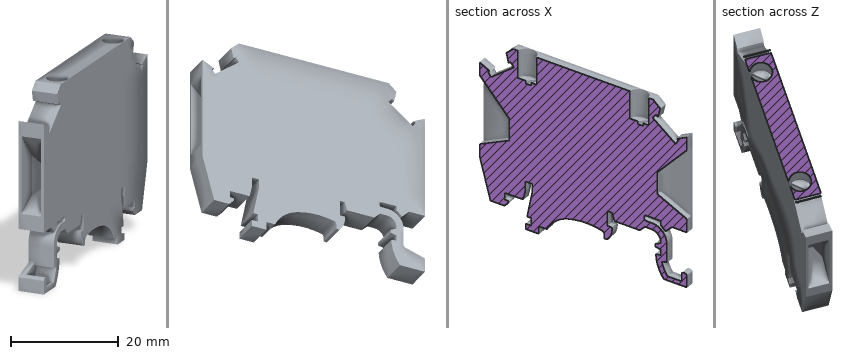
import math

import cadquery as cq

THICKNESS = 5.15
LENGTH = 46.35
HEIGHT = 38.7
HALF_LENGTH = LENGTH / 2

LATCH_OUTER_Y = -18.7
LATCH_INNER_Y = -17.2
LATCH_TOP_Z = 11.48
LATCH_BEND_Y = -15.28
LATCH_OUTER_RADIUS = LATCH_BEND_Y - LATCH_OUTER_Y
LATCH_INNER_RADIUS = LATCH_BEND_Y - LATCH_INNER_Y
LATCH_BEND_Z = LATCH_TOP_Z - LATCH_OUTER_RADIUS
LATCH_UNDERSIDE_Z = LATCH_BEND_Z + LATCH_INNER_RADIUS
FOOT_HEEL_Z = 4.2
FOOT_TOE_Z = 2.9
HEEL_FILLET = 0.6
TOE_FILLET = 0.45
SLIT_TOP_Z = 12.54
SLIT_END_Y = -13.95
SLIT_END_BULGE = 0.33

CHANNEL_START_X = 1.2
CHANNEL_FLOOR_Z = 1.04
CHANNEL_FLOOR_Y = -18.8
CHANNEL_BACK_MIDDLE = (-18.14, 2.2)
CHANNEL_BACK_TOP = (-17.6, 3.73)
CHANNEL_MOUTH_Z = 3.88
CHANNEL_LIP_Y = -21.95
CHANNEL_LIP_FILLET = 0.45

STOP_BASE_Z = 12.07
LEG_SLOT_TOP_Z = 10.45
BLOCK_BOTTOM_Z = 8.82
CENTRE_LEG_Z = 1.66
CLAW_SHELF_Z = 6.3
CLAW_BOTTOM_Z = 3.45

SCREW_X = 3.02
SCREW_Y = 12.5
SCREW_WELL_DIAMETER = 4.1
SCREW_WELL_DEPTH = 6.0
SCREW_SLOT_WIDTH = 0.8
SCREW_SLOT_DEPTH = 0.6
SCREW_SLOT_ANGLE = -45

ENTRY_MIN_X = 0.6
ENTRY_MAX_X = 4.6
ENTRY_BOTTOM_Z = 15.1
ENTRY_TOP_Z = 30.2
ENTRY_DEPTH = 6.6
ENTRY_STRAIGHT_DEPTH = 4.62
ENTRY_END_MIN_X = 1.77
ENTRY_END_MAX_X = 4.43
ENTRY_END_BOTTOM_Z = 18.25
ENTRY_END_TOP_Z = 23.0


def polyline_to(outline, points):
    """Continue an outline with straight lines through the points."""
    for y, z in points:
        outline = outline.lineTo(y, z)
    return outline


def shoulder(side):
    """Points of one upper corner, from the top face to the end face; side is +1 or -1."""
    points = [
        (15.6, HEIGHT),
        (17.22, 37.25),
        (16.72, 35.12),
        (16.26, 35.5),
        (15.56, 34.63),
        (20.6, 30.75),
        (21.2, 31.65),
        (20.75, 31.9),
        (HALF_LENGTH, 33.1),
    ]
    return [(side * y, z) for y, z in points]


def bend_middle(radius):
    """Middle point of a quarter arc of the latch bend."""
    offset = radius * math.sqrt(0.5)
    return (LATCH_BEND_Y - offset, LATCH_BEND_Z + offset)


def add_latch(outline):
    """Continue the outline from the -Y end face around the slit and the latch."""
    outline = polyline_to(outline, [
        (-HALF_LENGTH, STOP_BASE_Z),
        (-19.8, STOP_BASE_Z),
        (-18.38, 10.62),
        (LATCH_INNER_Y, 11.7),
        (LATCH_INNER_Y, SLIT_TOP_Z),
        (SLIT_END_Y, SLIT_TOP_Z),
    ])
    slit_end_middle = (SLIT_END_Y + SLIT_END_BULGE, (SLIT_TOP_Z + LATCH_TOP_Z) / 2)
    outline = outline.threePointArc(slit_end_middle, (SLIT_END_Y, LATCH_TOP_Z))
    outline = outline.lineTo(LATCH_BEND_Y, LATCH_TOP_Z)
    outline = outline.threePointArc(bend_middle(LATCH_OUTER_RADIUS), (LATCH_OUTER_Y, LATCH_BEND_Z))
    outline = polyline_to(outline, [
        (LATCH_OUTER_Y, FOOT_HEEL_Z),
        (-HALF_LENGTH, FOOT_TOE_Z),
        (-HALF_LENGTH, 0),
        (-17.95, 0),
    ])
    outline = outline.threePointArc((-16.65, 2.35), (-16.13, 5.0))
    outline = polyline_to(outline, [
        (LATCH_INNER_Y, 5.1),
        (LATCH_INNER_Y, 6.25),
        (-16.03, 6.47),
        (-16.03, 7.15),
        (LATCH_INNER_Y, 7.7),
        (LATCH_INNER_Y, LATCH_BEND_Z),
    ])
    return outline.threePointArc(bend_middle(LATCH_INNER_RADIUS), (LATCH_BEND_Y, LATCH_UNDERSIDE_Z))


def add_centre_leg(outline):
    """Continue the outline along the underside, around the hook, the arch and the leg."""
    outline = polyline_to(outline, [
        (-13.78, LATCH_UNDERSIDE_Z),
        (-12.59, BLOCK_BOTTOM_Z),
        (-6.9, BLOCK_BOTTOM_Z),
        (-6.43, LEG_SLOT_TOP_Z),
        (-5.41, LEG_SLOT_TOP_Z),
        (-5.41, 7.33),
        (-6.45, 7.33),
    ])
    outline = outline.threePointArc((-6.22, 5.5), (-5.31, 4.21))
    outline = polyline_to(outline, [(-4.68, 4.21), (-4.68, 5.1)])
    outline = outline.threePointArc((-4.5, 5.55), (-4.09, 5.77))
    outline = outline.threePointArc((-0.45, 6.17), (3.3, 5.62))
    outline = outline.threePointArc((6.1, 4.2), (8.09, CENTRE_LEG_Z))
    return polyline_to(outline, [
        (9.87, CENTRE_LEG_Z),
        (9.87, 0),
        (12.88, 0),
        (12.88, 1.3),
        (11.66, 1.3),
        (11.66, 2.85),
        (12.59, 2.85),
        (11.4, 8.86),
        (11.4, LEG_SLOT_TOP_Z),
    ])


def add_claw(outline):
    """Continue the outline around the fixed claw up to the +Y end face."""
    return polyline_to(outline, [
        (12.88, LEG_SLOT_TOP_Z),
        (12.88, 8.52),
        (13.38, CLAW_SHELF_Z),
        (17.5, CLAW_SHELF_Z),
        (17.5, 5.0),
        (16.6, 4.85),
        (16.6, 4.5),
        (17.6, CLAW_BOTTOM_Z),
        (20.76, CLAW_BOTTOM_Z),
        (HALF_LENGTH, 12.34),
    ])


def make_body():
    """Extrude the whole side outline and round the two ends of the foot slope."""
    outline = cq.Workplane("YZ").polyline(shoulder(1)[::-1] + shoulder(-1))
    outline = add_latch(outline)
    outline = add_centre_leg(outline)
    outline = add_claw(outline)
    body = outline.close().extrude(THICKNESS)
    heel = (THICKNESS / 2, LATCH_OUTER_Y, FOOT_HEEL_Z)
    toe = (THICKNESS / 2, -HALF_LENGTH, FOOT_TOE_Z)
    body = body.edges(cq.NearestToPointSelector(heel)).fillet(HEEL_FILLET)
    body = body.edges(cq.NearestToPointSelector(toe)).fillet(TOE_FILLET)
    return body


def cut_channel(body):
    """Cut the foot channel, undercut below the latch strip, and round its lip."""
    slope = (FOOT_HEEL_Z - FOOT_TOE_Z) / (LATCH_OUTER_Y + HALF_LENGTH)
    lip_z = FOOT_TOE_Z + slope * (CHANNEL_LIP_Y + HALF_LENGTH)
    profile = (
        cq.Workplane("YZ", origin=(CHANNEL_START_X, 0, 0))
        .moveTo(CHANNEL_LIP_Y, CHANNEL_FLOOR_Z)
        .lineTo(CHANNEL_FLOOR_Y, CHANNEL_FLOOR_Z)
        .threePointArc(CHANNEL_BACK_MIDDLE, CHANNEL_BACK_TOP)
        .lineTo(LATCH_OUTER_Y, CHANNEL_MOUTH_Z)
        .lineTo(LATCH_OUTER_Y, LATCH_BEND_Z)
        .lineTo(CHANNEL_LIP_Y, LATCH_BEND_Z)
        .close()
    )
    body = body.cut(profile.extrude(THICKNESS - CHANNEL_START_X))
    lip_middle = ((CHANNEL_START_X + THICKNESS) / 2, CHANNEL_LIP_Y, lip_z)
    return body.edges(cq.NearestToPointSelector(lip_middle)).fillet(CHANNEL_LIP_FILLET)


def screw_well(y):
    """Tool for one screw well with the driver slot in its floor."""
    floor_z = HEIGHT - SCREW_WELL_DEPTH
    well = (
        cq.Workplane("XY", origin=(SCREW_X, y, floor_z))
        .circle(SCREW_WELL_DIAMETER / 2)
        .extrude(SCREW_WELL_DEPTH)
    )
    head = (
        cq.Workplane("XY", origin=(SCREW_X, y, floor_z))
        .circle(SCREW_WELL_DIAMETER / 2)
        .extrude(-SCREW_SLOT_DEPTH)
    )
    slot = (
        cq.Workplane("XY")
        .box(SCREW_WELL_DIAMETER, SCREW_SLOT_WIDTH, 2 * SCREW_SLOT_DEPTH)
        .rotate((0, 0, 0), (0, 0, 1), SCREW_SLOT_ANGLE)
        .translate((SCREW_X, y, floor_z))
    )
    return well.union(slot.intersect(head))


def wire_entry():
    """Tool for the -Y wire entry: a side taper and a plan taper intersected."""
    bend_y = -HALF_LENGTH + ENTRY_STRAIGHT_DEPTH
    end_y = -HALF_LENGTH + ENTRY_DEPTH
    side_taper = (
        cq.Workplane("YZ")
        .polyline([
            (-HALF_LENGTH, ENTRY_BOTTOM_Z),
            (end_y, ENTRY_END_BOTTOM_Z),
            (end_y, ENTRY_END_TOP_Z),
            (-HALF_LENGTH, ENTRY_TOP_Z),
        ])
        .close()
        .extrude(THICKNESS)
    )
    plan_taper = (
        cq.Workplane("XY")
        .polyline([
            (ENTRY_MIN_X, -HALF_LENGTH),
            (ENTRY_MAX_X, -HALF_LENGTH),
            (ENTRY_MAX_X, bend_y),
            (ENTRY_END_MAX_X, end_y),
            (ENTRY_END_MIN_X, end_y),
            (ENTRY_MIN_X, bend_y),
        ])
        .close()
        .extrude(HEIGHT)
    )
    return side_taper.intersect(plan_taper)


result = cut_channel(make_body())
for screw_y in (-SCREW_Y, SCREW_Y):
    result = result.cut(screw_well(screw_y))
entry = wire_entry()
result = result.cut(entry).cut(entry.mirror("XZ"))